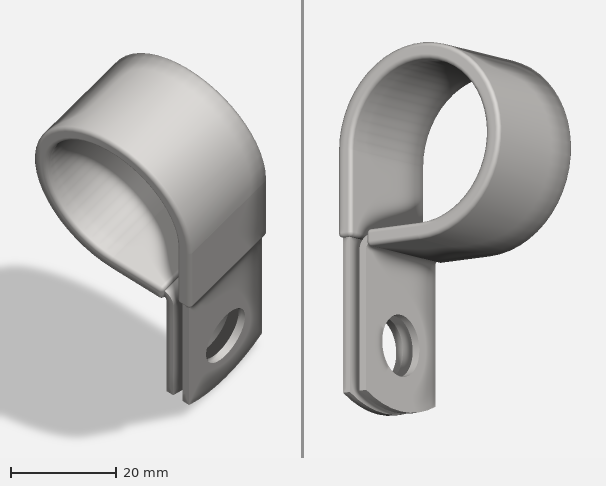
import cadquery as cq
import math


total_height = 68.2
loop_outer_radius = 18.99
strap_thickness = 1.6
strap_width = 22.3
cushion_cover = 0.8
cushion_width = 23.8
side_leg_length = 16.7
bottom_leg_length = 12.3
bend_inner_radius = 1.3
short_arm_outer_x = 14.3
hole_diameter = 11.9
hole_height = 12.7
arm_end_sag = 2.5

arm_bottom_z = loop_outer_radius - total_height
strap_outer_radius = loop_outer_radius - cushion_cover
strap_inner_radius = strap_outer_radius - strap_thickness
loop_inner_radius = strap_inner_radius - cushion_cover
bend_outer_radius = bend_inner_radius + strap_thickness
bend_x = short_arm_outer_x - bend_outer_radius
bend_z = -strap_outer_radius - bend_inner_radius
short_arm_inner_x = bend_x + bend_inner_radius
diagonal = math.sqrt(0.5)


def extrude_centred(profile, width):
    """Extrude a closed XZ profile equally to both sides of the XZ plane."""
    return profile.close().extrude(width / 2, both=True)


def is_end_edge(edge):
    """Tell the sharp edges at the cushion ends from the tangent seams at the loop axis."""
    centre = edge.Center()
    tolerance = 0.001
    return abs(centre.x) > tolerance and abs(centre.z) > tolerance


def make_cushion():
    profile = (
        cq.Workplane("XZ")
        .moveTo(loop_outer_radius, -side_leg_length)
        .lineTo(loop_outer_radius, 0)
        .threePointArc((-loop_outer_radius * diagonal, loop_outer_radius * diagonal), (0, -loop_outer_radius))
        .lineTo(bottom_leg_length, -loop_outer_radius)
        .lineTo(bottom_leg_length, -loop_inner_radius)
        .lineTo(0, -loop_inner_radius)
        .threePointArc((-loop_inner_radius * diagonal, loop_inner_radius * diagonal), (loop_inner_radius, 0))
        .lineTo(loop_inner_radius, -side_leg_length)
    )
    body = extrude_centred(profile, cushion_width)
    end_edges = [edge for edge in body.edges("|Y").vals() if is_end_edge(edge)]
    rim_edges = body.faces("|Y").edges().vals()
    return body.newObject(rim_edges + end_edges).fillet(cushion_cover)


def make_straight_arm():
    return cq.Workplane("XY").box(
        strap_thickness, strap_width, -arm_bottom_z, centered=(False, True, False)
    ).translate((strap_inner_radius, 0, arm_bottom_z))


def make_bent_arm():
    profile = (
        cq.Workplane("XZ")
        .moveTo(0, -strap_inner_radius)
        .lineTo(bend_x, -strap_inner_radius)
        .threePointArc(
            (bend_x + bend_outer_radius * diagonal, bend_z + bend_outer_radius * diagonal),
            (short_arm_outer_x, bend_z),
        )
        .lineTo(short_arm_outer_x, arm_bottom_z)
        .lineTo(short_arm_inner_x, arm_bottom_z)
        .lineTo(short_arm_inner_x, bend_z)
        .threePointArc(
            (bend_x + bend_inner_radius * diagonal, bend_z + bend_inner_radius * diagonal),
            (bend_x, -strap_outer_radius),
        )
        .lineTo(0, -strap_outer_radius)
    )
    return extrude_centred(profile, strap_width)


def make_arm_outline():
    """Solid whose YZ outline gives both arms their rounded end and bolt hole."""
    half_width = strap_width / 2
    corner_z = arm_bottom_z + arm_end_sag
    return (
        cq.Workplane("YZ")
        .moveTo(-half_width, 0)
        .lineTo(-half_width, corner_z)
        .threePointArc((0, arm_bottom_z), (half_width, corner_z))
        .lineTo(half_width, 0)
        .close()
        .extrude(loop_outer_radius)
        .cut(
            cq.Workplane("YZ")
            .center(0, arm_bottom_z + hole_height)
            .circle(hole_diameter / 2)
            .extrude(loop_outer_radius)
        )
    )


arms = make_straight_arm().union(make_bent_arm()).intersect(make_arm_outline())
result = make_cushion().union(arms)